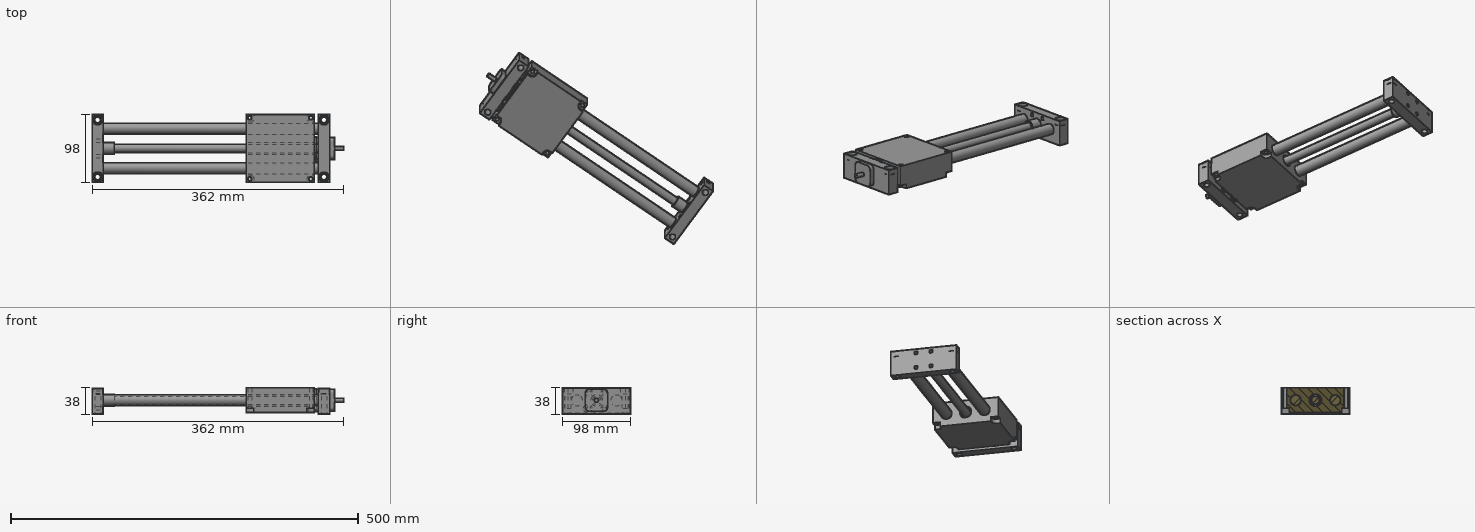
import cadquery as cq
import math


total_length = 362.0
unit_width = 98.0
axis_height = 20.0
rod_diameter = 16.0
rod_offset = 28.5
spindle_diameter = 12.0
screw_offset = 11.2

far_plate_thickness = 16.0
drive_plate_thickness = 17.0
plate_height = 37.0
plate_gap = 309.0
drive_plate_start = far_plate_thickness + plate_gap
drive_plate_end = drive_plate_start + drive_plate_thickness
mount_hole_diameter = 8.5
mount_bore_diameter = 14.1
mount_bore_depth = 8.0
mount_hole_inset = 8.0
mount_hole_offset = unit_width / 2 - mount_hole_inset
screw_hole_diameter = 5.2

collar_diameter = 17.0
collar_length = 16.0
flange_width = 32.0
flange_corner_radius = 6.0
flange_thickness = 7.0
shaft_diameter = 6.0

carriage_length = 98.0
carriage_start = 221.7
carriage_end = carriage_start + carriage_length
carriage_bottom = 2.0
carriage_height = 36.0
spindle_clearance_diameter = 17.0
corner_inset = 5.0
corner_hole_diameter = 5.2
corner_hole_chamfer = 0.4
corner_notch_radius = 6.0
corner_notch_height = 6.5
nut_disc_diameter = 33.0
nut_disc_thickness = 2.5
nut_disc_end = carriage_end + nut_disc_thickness
screw_head_diameter = 9.5
stop_pin_diameter = 9.0
stop_pin_y = -15.0
stop_pin_z = 8.2


def rod_along_x(diameter, start, end, y=0.0, z=axis_height):
    """Cylinder parallel to X between two X positions."""
    return (
        cq.Workplane("YZ", origin=(start, y, z))
        .circle(diameter / 2)
        .extrude(end - start)
    )


def block(x_start, length, z_bottom, height):
    """Full-width block centred on Y."""
    return (
        cq.Workplane("XY", origin=(x_start, 0, z_bottom))
        .rect(length, unit_width)
        .extrude(height)
        .translate((length / 2, 0, 0))
    )


def screw_positions():
    """Y and Z of the four screws around the spindle."""
    return [
        (side * screw_offset, axis_height + level * screw_offset)
        for side in (-1, 1)
        for level in (-1, 1)
    ]


def make_end_plate(x_start, thickness):
    """End plate with two counterbored mounting holes."""
    return (
        block(x_start, thickness, 0, plate_height)
        .faces(">Z")
        .workplane(origin=(x_start + thickness / 2, 0, plate_height))
        .pushPoints([(0, -mount_hole_offset), (0, mount_hole_offset)])
        .cboreHole(mount_hole_diameter, mount_bore_diameter, mount_bore_depth)
    )


def make_drive_flange():
    """Square flange with rounded corners."""
    return (
        cq.Workplane("YZ", origin=(drive_plate_end, 0, axis_height))
        .rect(flange_width, flange_width)
        .extrude(flange_thickness)
        .edges("|X")
        .fillet(flange_corner_radius)
    )


def make_frame():
    """End plates joined by the guide rods and the spindle."""
    far_plate = make_end_plate(0, far_plate_thickness)
    for y, z in screw_positions():
        far_plate = far_plate.cut(rod_along_x(screw_hole_diameter, 0, far_plate_thickness, y, z))

    frame = far_plate.union(make_end_plate(drive_plate_start, drive_plate_thickness))
    for side in (-1, 1):
        frame = frame.union(
            rod_along_x(rod_diameter, far_plate_thickness, drive_plate_start, side * rod_offset)
        )
    frame = frame.union(rod_along_x(spindle_diameter, far_plate_thickness, drive_plate_start))
    frame = frame.union(
        rod_along_x(collar_diameter, far_plate_thickness, far_plate_thickness + collar_length)
    )
    frame = frame.union(make_drive_flange())
    return frame.union(rod_along_x(shaft_diameter, drive_plate_end, total_length))


def make_corner_cutter(x_side, y_side):
    """Cutter for one corner: a chamfered through hole and a bottom notch open to both outer sides.

    The notch outline is a quarter circle round the hole, running straight out to the two sides.
    """
    hole = (
        cq.Workplane("XY")
        .circle(corner_hole_diameter / 2)
        .extrude(carriage_height)
    )
    chamfer_start = carriage_height - corner_hole_chamfer
    chamfer = (
        cq.Workplane("XY", origin=(0, 0, chamfer_start))
        .circle(corner_hole_diameter / 2)
        .workplane(offset=corner_hole_chamfer)
        .circle(corner_hole_diameter / 2 + corner_hole_chamfer)
        .loft()
    )
    radius = corner_notch_radius
    inset = corner_inset
    arc_middle = -radius * math.sqrt(0.5)
    notch = (
        cq.Workplane("XY")
        .moveTo(inset, inset)
        .lineTo(-radius, inset)
        .lineTo(-radius, 0)
        .threePointArc((arc_middle, arc_middle), (0, -radius))
        .lineTo(inset, -radius)
        .close()
        .extrude(corner_notch_height)
    )
    cutter = hole.union(chamfer).union(notch)
    if x_side < 0:
        cutter = cutter.mirror("YZ")
    if y_side < 0:
        cutter = cutter.mirror("XZ")
    return cutter


def make_carriage():
    """Carriage block with its screwed-on spindle nut disc and stop pin."""
    carriage = block(carriage_start, carriage_length, carriage_bottom, carriage_height)

    carriage_middle = carriage_start + carriage_length / 2
    for x_side in (-1, 1):
        for y_side in (-1, 1):
            x = carriage_middle + x_side * (carriage_length / 2 - corner_inset)
            y = y_side * (unit_width / 2 - corner_inset)
            cutter = make_corner_cutter(x_side, y_side)
            carriage = carriage.cut(cutter.translate((x, y, carriage_bottom)))

    for side in (-1, 1):
        carriage = carriage.cut(
            rod_along_x(rod_diameter, carriage_start, carriage_end, side * rod_offset)
        )
    carriage = carriage.cut(rod_along_x(spindle_clearance_diameter, carriage_start, carriage_end))

    carriage = carriage.union(
        rod_along_x(nut_disc_diameter, carriage_end, nut_disc_end)
        .cut(rod_along_x(spindle_diameter, carriage_end, nut_disc_end))
    )
    for y, z in screw_positions():
        carriage = carriage.union(
            rod_along_x(screw_head_diameter, nut_disc_end, drive_plate_start, y, z)
        )
    return carriage.union(
        rod_along_x(stop_pin_diameter, carriage_end, drive_plate_start, stop_pin_y, stop_pin_z)
    )


frame = make_frame()
carriage = make_carriage()
result = cq.Compound.makeCompound([frame.val(), carriage.val()])